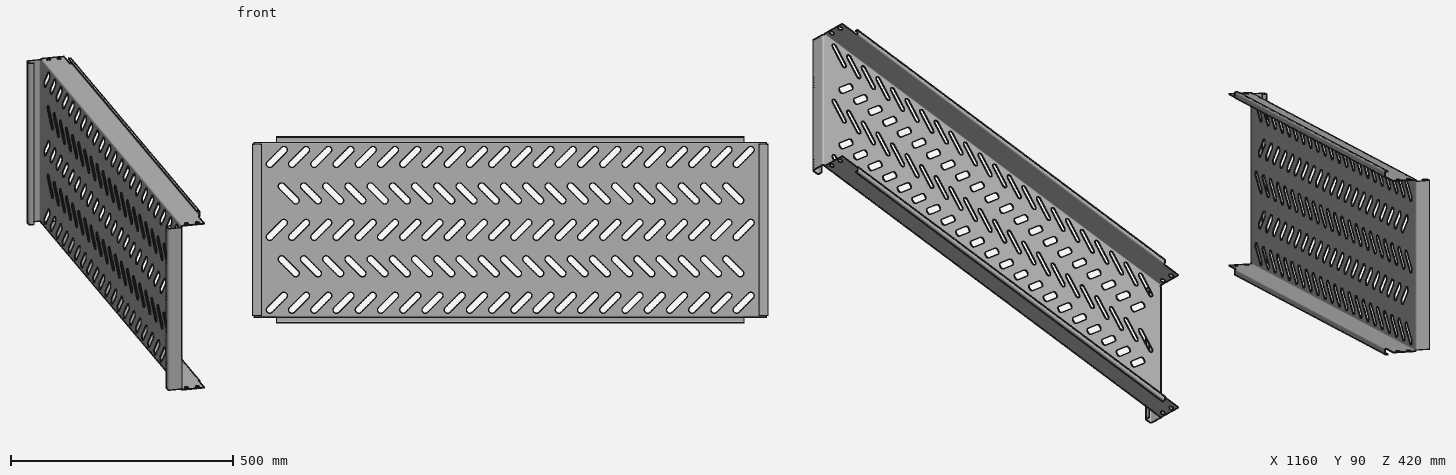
import cadquery as cq

LENGTH = 1160.0
DEPTH = 90.0
HEIGHT = 420.0

THICKNESS = 2.0
BEND_RADIUS = 4.0
HALF_SHEET = THICKNESS / 2
MID_RADIUS = BEND_RADIUS - HALF_SHEET

LIP_HEIGHT = 13.0
LIP_LENGTH = 1052.0
RETURN_DEPTH = 8.0

CHANNEL_DEPTH = 31.3
CHANNEL_WIDTH = 20.0
CHANNEL_RETURN = 12.0

SLOT_LENGTH = 60.0
SLOT_WIDTH = 15.0
SLOT_ANGLE = 45.0
SLOT_PITCH = 50.0
SLOT_ROW_PITCH = 82.0
INNER_ROW_SHIFT = 1.7
SLOT_ROWS = 5
SLOTS_IN_OUTER_ROW = 22

HOLE_LENGTH = 12.0
HOLE_WIDTH = 8.0
HOLE_FROM_SIDE = 13.0
HOLE_FROM_BACK = 18.0
HOLE_SPACING = 25.0

X_SIDE = LENGTH / 2
Y_BACK = DEPTH / 2
Y_FRONT = -DEPTH / 2
Y_PANEL = Y_FRONT + CHANNEL_DEPTH
Y_PANEL_MID = Y_PANEL + HALF_SHEET
Y_FLAT = Y_BACK - BEND_RADIUS
Z_LIP = HEIGHT / 2
Z_FLANGE = Z_LIP - LIP_HEIGHT
X_FLAT = X_SIDE - BEND_RADIUS
Z_FLAT = Z_FLANGE - BEND_RADIUS


def panel():
    """Flat panel, ending on all sides where the bends begin."""
    return cq.Workplane("XY").box(2 * X_FLAT, THICKNESS, 2 * Z_FLAT).translate((0, Y_PANEL_MID, 0))


def bent_strip(points, width_axis, width):
    """Sheet of the given width, centred on a mid-thickness path with rounded corners."""
    vectors = [cq.Vector(*point) for point in points]
    sharp_path = cq.Wire.makePolygon(vectors)
    path = sharp_path.fillet2D(MID_RADIUS, sharp_path.Vertices()[1:-1])
    start = cq.Plane(origin=vectors[0], xDir=width_axis, normal=vectors[1] - vectors[0])
    return cq.Workplane(start).rect(width, THICKNESS).sweep(cq.Workplane(path))


def top_flange():
    """Flange bent back from the top of the panel over its full width."""
    z_mid = Z_FLANGE - HALF_SHEET
    points = [
        (0, Y_PANEL_MID, Z_FLAT),
        (0, Y_PANEL_MID, z_mid),
        (0, Y_FLAT, z_mid),
    ]
    return bent_strip(points, (1, 0, 0), 2 * X_FLAT)


def top_lip():
    """Lip rising from the back of the flange and returning forwards."""
    z_flange_mid = Z_FLANGE - HALF_SHEET
    z_return_mid = Z_LIP - HALF_SHEET
    y_mid = Y_BACK - HALF_SHEET
    points = [
        (0, Y_FLAT, z_flange_mid),
        (0, y_mid, z_flange_mid),
        (0, y_mid, z_return_mid),
        (0, Y_BACK - RETURN_DEPTH, z_return_mid),
    ]
    return bent_strip(points, (1, 0, 0), LIP_LENGTH)


def side_channel():
    """Channel bent forwards from the +X side of the panel."""
    x_mid = X_SIDE - HALF_SHEET
    x_return_mid = X_SIDE - CHANNEL_WIDTH + HALF_SHEET
    y_front_mid = Y_FRONT + HALF_SHEET
    points = [
        (X_FLAT, Y_PANEL_MID, 0),
        (x_mid, Y_PANEL_MID, 0),
        (x_mid, y_front_mid, 0),
        (x_return_mid, y_front_mid, 0),
        (x_return_mid, Y_FRONT + CHANNEL_RETURN, 0),
    ]
    return bent_strip(points, (0, 0, 1), 2 * Z_FLAT)


def slot_cutters():
    """Rows of slanted slots; every second row leans the other way and holds one slot less."""
    cutters = cq.Workplane("XZ", origin=(0, Y_PANEL_MID, 0))
    for row in range(SLOT_ROWS):
        is_inner = row % 2
        count = SLOTS_IN_OUTER_ROW - is_inner
        angle = -SLOT_ANGLE if is_inner else SLOT_ANGLE
        x_first = is_inner * INNER_ROW_SHIFT - (count - 1) / 2 * SLOT_PITCH
        z_row = (row - (SLOT_ROWS - 1) / 2) * SLOT_ROW_PITCH
        centers = [(x_first + i * SLOT_PITCH, z_row) for i in range(count)]
        cutters = cutters.pushPoints(centers).slot2D(SLOT_LENGTH, SLOT_WIDTH, angle)
    return cutters.extrude(THICKNESS, both=True)


def hole_cutters():
    """Rounded mounting slots through both flanges, two near each end."""
    x_hole = X_SIDE - HOLE_FROM_SIDE
    y_back_hole = Y_BACK - HOLE_FROM_BACK
    centers = [(x, y) for x in (-x_hole, x_hole) for y in (y_back_hole, y_back_hole - HOLE_SPACING)]
    return cq.Workplane("XY").pushPoints(centers).slot2D(HOLE_LENGTH, HOLE_WIDTH).extrude(Z_LIP, both=True)


top_edge = top_flange().union(top_lip())
right_side = side_channel()

result = (
    panel()
    .union(top_edge)
    .union(top_edge.mirror("XY"))
    .union(right_side)
    .union(right_side.mirror("YZ"))
    .cut(slot_cutters())
    .cut(hole_cutters())
)